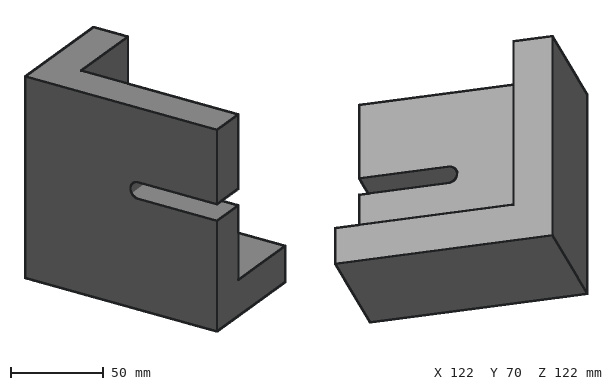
import cadquery as cq

length = 122.0
depth = 70.0
height = 122.0

wall = 22.0

slot_width = 10.0
slot_length = 55.0
slot_center_z = 72.0


def corner_bracket():
    """Block with its outer corner at the origin, hollowed towards +X, +Y and +Z."""
    block = cq.Workplane("XY").box(length, depth, height, centered=False)
    hollow = cq.Workplane("XY").box(length - wall, depth - wall, height - wall, centered=False)
    return block.cut(hollow.translate((wall, wall, wall)))


def slot_cutter():
    """Slot through the front wall, with a semicircular inner end."""
    radius = slot_width / 2
    slot_end_x = length - slot_length
    arc_x = slot_end_x + radius
    bottom_z = slot_center_z - radius
    top_z = slot_center_z + radius
    return (
        cq.Workplane("XZ")
        .moveTo(length, bottom_z)
        .lineTo(arc_x, bottom_z)
        .threePointArc((slot_end_x, slot_center_z), (arc_x, top_z))
        .lineTo(length, top_z)
        .close()
        .extrude(-wall)
    )


result = corner_bracket().cut(slot_cutter())